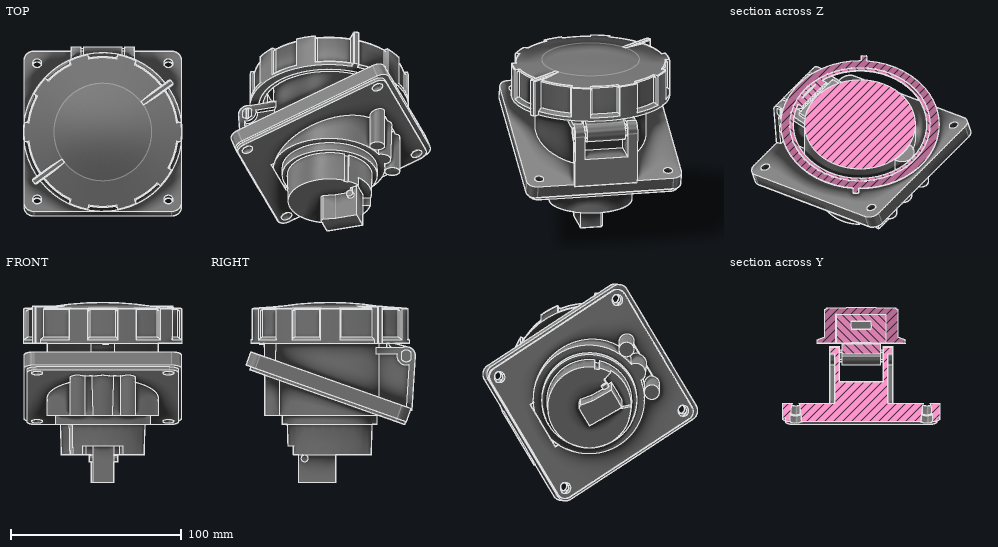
import cadquery as cq
import math


clearance = 1.1

block_top_z = 21.4
cup_bottom_z = 16.3
disc_bottom_z = 34.3
sleeve_bottom_z = 39.3
cap_bottom_z = 81.9
rim_z = 102.5
dome_edge_z = 103.8
top_z = 106.0

cap_radius = 93.4 / 2
bore_radius = 83.0 / 2
dome_radius = 57.5 / 2
cap_ceiling_z = 99.2
rim_chamfer = 0.4
pocket_count = 10
pocket_pitch = 360 / pocket_count
pocket_angle = 21.8
pocket_floor_radius = 44.4
pocket_floor_z = 85.7
pocket_lip_z = 84.0
pocket_bevel = 0.6
pocket_side_chamfer = 1.0
grip_angle = pocket_pitch
grip_tip_radius = 50.3
grip_width = 3.5
grip_top_z = 103.8
grip_chamfer = 0.5

lid_skirt = 2.3
lid_thickness = 4.2
tab_width = 3.4
tab_drop = 0.6
tab_center_x = 1.7

hinge_y = 44.8
hinge_z = 74.6
knuckle_radius = 5.4
hinge_width = 37.3
leaf_width = 22.9
leaf_slot_width = 25.7
leaf_slot_bottom_z = 59.4
leaf_front_y = 34.6
leaf_bevel = 1.3
leaf_neck_y = 38.2
leaf_neck_rise = 1.1
leaf_root_y = 39.7
leaf_root_z = 90.4
leaf_tangent_y = 1.7
leaf_tangent_z = 5.1
pin_diameter = 7.0
pin_across_flats = 5.6
pin_slot_width = 1.3
pin_slot_depth = 0.6

web_width = 31.4
arm_front_y = 26.8
arm_height = 3.9
arm_top_z = 79.5
pad_back_y = 33.3
wall_foot_y = 48.1
wall_foot_z = 42.4
wall_thickness = 3.4

plate_tilt = 19.5
plate_center_y = 0.4
plate_center_z = 60.2
plate_width = 92.8
plate_length = 100.1
plate_thickness = 8.3
plate_corner = 5.8
gasket_thickness = 1.9
gasket_inset = 1.7
gasket_shift = 1.3
gasket_corner = 5.4
hole_spacing_x = 77.2
hole_spacing_y = 85.0
opening_width = 29.5
opening_reach = 36.3
plate_hole = 5.3
plate_hole_depth = 5.6
gasket_hole = 6.5

sleeve_radius = 32.8
boss_diameter = 8.8
boss_x = 14.8
boss_y = -34.3
boss_top_z = 68.9
lug_radius = 14.0 / 2
lug_foot_radius = 5.7
lug_front_y = -38.9

cup_center_y = -0.3
disc_radius = 56.0 / 2
cup_top_radius = 25.0
cup_foot_radius = 24.5
groove_angle = 221
groove_width = 2.8
groove_depth = 1.1
notch_mouth = 24.0
notch_back = 19.9
notch_mouth_y = -21.7
notch_back_y = -15.9
block_front_y = -18.7
block_back_y = 3.4
block_left_x = -5.6
block_right_x = 6.6
block_bulge_x = -6.9
block_bulge_y = 1.8
block_taper_y = -5.5
cross_pin_diameter = 4.0
cross_pin_y = -15.1
cross_pin_z = 14.2
cross_pin_left = -8.1
cross_pin_right = 8.9


def box(x_range, y_range, z_range):
    """Axis-aligned box from its limits."""
    sizes = [high - low for low, high in (x_range, y_range, z_range)]
    corner = (x_range[0], y_range[0], z_range[0])
    return cq.Workplane("XY").box(*sizes, centered=False).translate(corner)


def cylinder(radius, bottom, top, x=0, y=0):
    """Upright cylinder between two heights."""
    return cq.Workplane("XY", origin=(x, y, bottom)).circle(radius).extrude(top - bottom)


def across(width):
    """Limits of a width centred on zero."""
    return (-width / 2, width / 2)


def slab_yz(points, width):
    """Outline in the YZ plane, extruded evenly to both sides of X = 0."""
    return cq.Workplane("YZ").polyline(points).close().extrude(width / 2, both=True)


def knuckle(radius, width):
    """Cylinder along the hinge axis."""
    plane = cq.Workplane("YZ", origin=(0, hinge_y, hinge_z))
    return plane.circle(radius).extrude(width / 2, both=True)


def cap_shell():
    sagitta = top_z - dome_edge_z
    sphere_radius = (dome_radius**2 + sagitta**2) / (2 * sagitta)
    half_angle = math.asin(dome_radius / sphere_radius) / 2
    dome_middle = (
        sphere_radius * math.sin(half_angle),
        top_z - sphere_radius * (1 - math.cos(half_angle)),
    )
    return (
        cq.Workplane("XZ")
        .moveTo(0, cap_ceiling_z)
        .lineTo(bore_radius, cap_ceiling_z)
        .lineTo(bore_radius, cap_bottom_z)
        .lineTo(cap_radius, cap_bottom_z)
        .lineTo(cap_radius, rim_z - rim_chamfer)
        .lineTo(cap_radius - rim_chamfer, rim_z)
        .lineTo(dome_radius, dome_edge_z)
        .threePointArc(dome_middle, (0, top_z))
        .close()
        .revolve(360, (0, 0), (0, 1))
    )


def pocket_cutter(start_angle, sweep):
    """Sector that leaves the pocket floor and the sloped ledge below it."""
    outer_radius = cap_radius + clearance
    ledge_slope = (pocket_floor_z - pocket_lip_z) / (cap_radius - pocket_floor_radius)
    outer_z = pocket_floor_z - ledge_slope * (outer_radius - pocket_floor_radius)
    return (
        cq.Workplane("XZ")
        .moveTo(pocket_floor_radius, pocket_floor_z)
        .lineTo(outer_radius, outer_z)
        .lineTo(outer_radius, top_z)
        .lineTo(pocket_floor_radius - pocket_bevel, top_z)
        .lineTo(pocket_floor_radius - pocket_bevel, rim_z)
        .lineTo(pocket_floor_radius, rim_z - pocket_bevel)
        .close()
        .revolve(sweep, (0, 0), (0, 1))
        .edges("|Z")
        .edges("<Z")
        .chamfer(pocket_side_chamfer)
        .rotate((0, 0, 0), (0, 0, 1), start_angle)
    )


def grip():
    """Radial rib over the cap's top and down its side."""
    bar = box((dome_radius, grip_tip_radius), across(grip_width), (cap_bottom_z, grip_top_z))
    bar = bar.edges(">Z and |X").chamfer(grip_chamfer).edges(">X and |Z").chamfer(grip_chamfer)
    return bar.cut(cylinder(bore_radius, cap_bottom_z, cap_ceiling_z))


def make_cap():
    cap = cap_shell()
    for index in range(pocket_count):
        center = (index + 0.5) * pocket_pitch
        cap = cap.cut(pocket_cutter(center - pocket_angle / 2, pocket_angle))
    for angle in (grip_angle, grip_angle + 180):
        cap = cap.cut(pocket_cutter(angle - pocket_pitch / 2, pocket_pitch))
        cap = cap.union(grip().rotate((0, 0, 0), (0, 0, 1), angle))
    return cap


def make_lid():
    inner_radius = bore_radius - lid_skirt
    ceiling_z = cap_ceiling_z - lid_thickness
    lid = cylinder(bore_radius, cap_bottom_z, cap_ceiling_z)
    lid = lid.cut(cylinder(inner_radius, cap_bottom_z, ceiling_z))
    tab = box(
        (tab_center_x - tab_width / 2, tab_center_x + tab_width / 2),
        (-bore_radius, -inner_radius),
        (cap_bottom_z - tab_drop, cap_bottom_z + lid_skirt),
    ).intersect(cylinder(bore_radius, 0, top_z).cut(cylinder(inner_radius, 0, top_z)))
    leaf = slab_yz(
        [
            (hinge_y + leaf_tangent_y, hinge_z + leaf_tangent_z),
            (leaf_neck_y, cap_bottom_z),
            (leaf_root_y, cap_bottom_z + leaf_neck_rise),
            (leaf_root_y, leaf_root_z),
            (leaf_front_y, leaf_root_z),
            (leaf_front_y, arm_top_z + leaf_bevel),
            (leaf_front_y + leaf_bevel, arm_top_z),
            (hinge_y - knuckle_radius, hinge_z),
        ],
        leaf_width,
    )
    lid = lid.union(tab).union(leaf).union(knuckle(knuckle_radius, leaf_width))
    return lid.cut(pin_shaft())


def pin_shaft():
    flats = box(
        across(hinge_width),
        (hinge_y - pin_across_flats / 2, hinge_y + pin_across_flats / 2),
        (hinge_z - pin_diameter, hinge_z + pin_diameter),
    )
    return knuckle(pin_diameter / 2, hinge_width).intersect(flats)


def make_hinge_pin():
    slot = box(
        (-hinge_width / 2, -hinge_width / 2 + pin_slot_depth),
        (hinge_y - pin_slot_width / 2, hinge_y + pin_slot_width / 2),
        (hinge_z - pin_diameter, hinge_z + pin_diameter),
    )
    return pin_shaft().cut(slot)


def plate_plane(depth, shift=0):
    """Plane parallel to the plate's upper face, a depth below it."""
    tilt = math.radians(plate_tilt)
    top_face = cq.Plane(
        origin=(0, plate_center_y, plate_center_z),
        xDir=(1, 0, 0),
        normal=(0, math.sin(tilt), math.cos(tilt)),
    )
    return cq.Workplane(top_face).workplane(offset=-depth).center(0, shift)


def mounting_plate():
    plate = rounded_sheet(0, plate_thickness, plate_width, plate_length, plate_corner, 0)
    gasket = rounded_sheet(
        plate_thickness,
        gasket_thickness,
        plate_width - 2 * gasket_inset,
        plate_length - 2 * gasket_inset,
        gasket_corner,
        gasket_shift,
    )
    opening = plate_plane(plate_thickness).rect(opening_width, 2 * opening_reach)
    plate = plate.union(gasket.cut(opening.extrude(-gasket_thickness)))
    wide_depth = plate_thickness + gasket_thickness - plate_hole_depth
    plate = plate.cut(mounting_holes(0, plate_hole_depth, plate_hole, 0))
    return plate.cut(mounting_holes(plate_hole_depth, wide_depth, gasket_hole, gasket_shift))


def rounded_sheet(depth, thickness, width, length, corner, shift):
    outline = cq.Sketch().rect(width, length).vertices().fillet(corner)
    return plate_plane(depth, shift).placeSketch(outline).extrude(-thickness)


def mounting_holes(depth, thickness, diameter, shift):
    pattern = plate_plane(depth, shift).rect(hole_spacing_x, hole_spacing_y, forConstruction=True)
    return pattern.vertices().circle(diameter / 2).extrude(-thickness)


def sleeve():
    sleeve_top_z = cap_ceiling_z - lid_thickness
    body = cylinder(sleeve_radius, sleeve_bottom_z, sleeve_top_z)
    for x in (-boss_x, boss_x):
        body = body.union(cylinder(boss_diameter / 2, sleeve_bottom_z, boss_top_z, x, boss_y))
    lug_height = cap_bottom_z - sleeve_bottom_z
    lug = (
        cq.Workplane("XY", origin=(0, lug_front_y + lug_radius, sleeve_bottom_z))
        .circle(lug_foot_radius)
        .workplane(offset=lug_height)
        .circle(lug_radius)
        .loft()
    )
    return body.union(lug)


def hinge_support():
    """Back wall with two knuckles, arms to the sleeve and a narrower web between."""
    wall_top_y = hinge_y + knuckle_radius
    wall = slab_yz(
        [
            (wall_top_y, hinge_z),
            (wall_foot_y, wall_foot_z),
            (wall_foot_y - wall_thickness, wall_foot_z),
            (wall_top_y - wall_thickness, hinge_z),
        ],
        hinge_width,
    )
    arm = box(across(hinge_width), (arm_front_y, hinge_y), (arm_top_z - arm_height, arm_top_z))
    web = slab_yz(
        [
            (0, arm_top_z),
            (hinge_y, arm_top_z),
            (wall_top_y - wall_thickness, hinge_z),
            (wall_foot_y - wall_thickness, wall_foot_z),
            (0, wall_foot_z),
        ],
        web_width,
    )
    pad = box(across(web_width), (0, pad_back_y), (arm_top_z, cap_bottom_z))
    support = wall.union(arm).union(web).union(pad).union(knuckle(knuckle_radius, hinge_width))
    leaf_slot = box(
        across(leaf_slot_width),
        (pad_back_y, hinge_y + 2 * knuckle_radius),
        (leaf_slot_bottom_z, top_z),
    )
    return support.cut(leaf_slot).cut(pin_shaft())


def terminal_cup():
    cup = (
        cq.Workplane("XY", origin=(0, 0, cup_bottom_z))
        .circle(cup_foot_radius)
        .workplane(offset=disc_bottom_z - cup_bottom_z)
        .circle(cup_top_radius)
        .loft()
    )
    groove = box(
        (cup_foot_radius - groove_depth, cup_top_radius + clearance),
        across(groove_width),
        (cup_bottom_z, disc_bottom_z),
    ).rotate((0, 0, 0), (0, 0, 1), groove_angle)
    mouth_slope = (notch_mouth - notch_back) / 2 / (notch_back_y - notch_mouth_y)
    outside_y = -cup_top_radius - clearance
    outside_half = notch_mouth / 2 + mouth_slope * (notch_mouth_y - outside_y)
    notch = (
        cq.Workplane("XY", origin=(0, 0, cup_bottom_z))
        .polyline(
            [
                (-outside_half, outside_y),
                (outside_half, outside_y),
                (notch_back / 2, notch_back_y),
                (-notch_back / 2, notch_back_y),
            ]
        )
        .close()
        .extrude(block_top_z - cup_bottom_z)
    )
    disc = cylinder(disc_radius, disc_bottom_z, sleeve_bottom_z)
    return cup.cut(groove).cut(notch).union(disc).translate((0, cup_center_y, 0))


def cable_block():
    block = (
        cq.Workplane("XY")
        .polyline(
            [
                (block_left_x, block_front_y),
                (block_right_x, block_front_y),
                (block_right_x, block_back_y),
                (block_left_x, block_back_y),
                (block_bulge_x, block_bulge_y),
                (block_left_x, block_taper_y),
            ]
        )
        .close()
        .extrude(block_top_z)
    )
    cross_pin = (
        cq.Workplane("YZ", origin=(cross_pin_left, cross_pin_y, cross_pin_z))
        .circle(cross_pin_diameter / 2)
        .extrude(cross_pin_right - cross_pin_left)
    )
    return block.union(cross_pin)


def make_housing():
    housing = sleeve().union(mounting_plate()).union(hinge_support())
    return housing.union(terminal_cup()).union(cable_block())


housing = make_housing()
lid = make_lid()
cap = make_cap()
hinge_pin = make_hinge_pin()

result = cq.Compound.makeCompound([housing.val(), lid.val(), cap.val(), hinge_pin.val()])